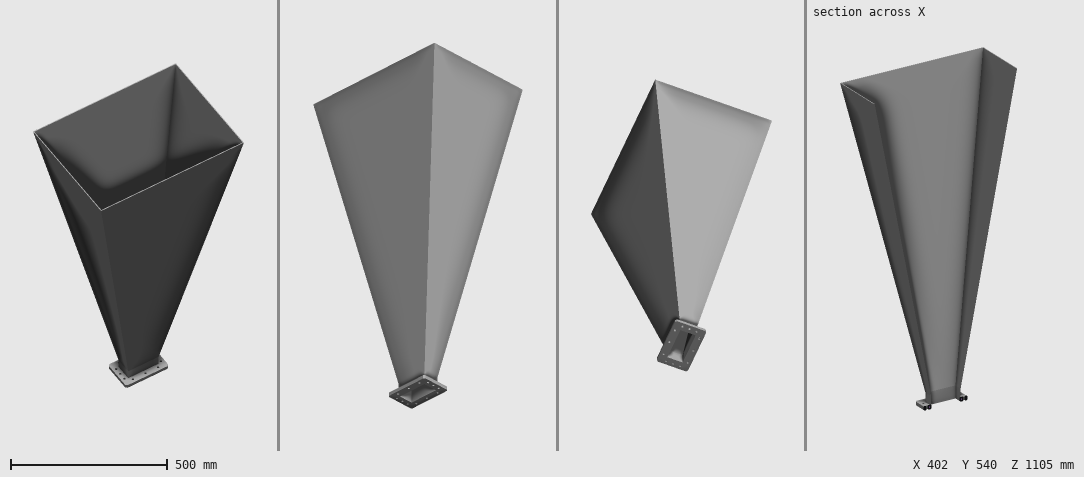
import cadquery as cq

total_height = 1105.0
mouth_x = 402.0
mouth_y = 540.0
wall = 3.0

neck_x = 59.0
neck_y = 115.0
neck_top = 45.0

flange_x = 107.0
flange_y = 162.0
flange_thickness = 12.0
flange_corner_chamfer = 5.0
bolt_diameter = 8.0
bolt_inset = 12.0
bolt_pitch_x = 24.0
bolt_pitch_y = 48.0


def tapered_block(inset):
    """Pyramid frustum from the neck to the mouth, inset on all four sides."""
    return (
        cq.Workplane("XY", origin=(0, 0, neck_top))
        .rect(neck_x - 2 * inset, neck_y - 2 * inset)
        .workplane(offset=total_height - neck_top)
        .rect(mouth_x - 2 * inset, mouth_y - 2 * inset)
        .loft(ruled=True)
    )


def neck_block(inset):
    """Straight rectangular block from the base to the start of the taper."""
    return cq.Workplane("XY").rect(neck_x - 2 * inset, neck_y - 2 * inset).extrude(neck_top)


def bolt_positions():
    """Three bolts along each edge of the flange."""
    row_x = flange_x / 2 - bolt_inset
    row_y = flange_y / 2 - bolt_inset
    positions = []
    for side in (-1, 1):
        for step in (-1, 0, 1):
            positions.append((side * row_x, step * bolt_pitch_y))
            positions.append((step * bolt_pitch_x, side * row_y))
    return positions


def flange_plate():
    """Rectangular plate with chamfered corners and through bolt holes."""
    plate = (
        cq.Workplane("XY")
        .rect(flange_x, flange_y)
        .extrude(flange_thickness)
        .edges("|Z")
        .chamfer(flange_corner_chamfer)
    )
    bolts = (
        cq.Workplane("XY")
        .pushPoints(bolt_positions())
        .circle(bolt_diameter / 2)
        .extrude(flange_thickness)
    )
    return plate.cut(bolts)


outer_body = flange_plate().union(neck_block(0)).union(tapered_block(0))
passage = neck_block(wall).union(tapered_block(wall))
result = outer_body.cut(passage)